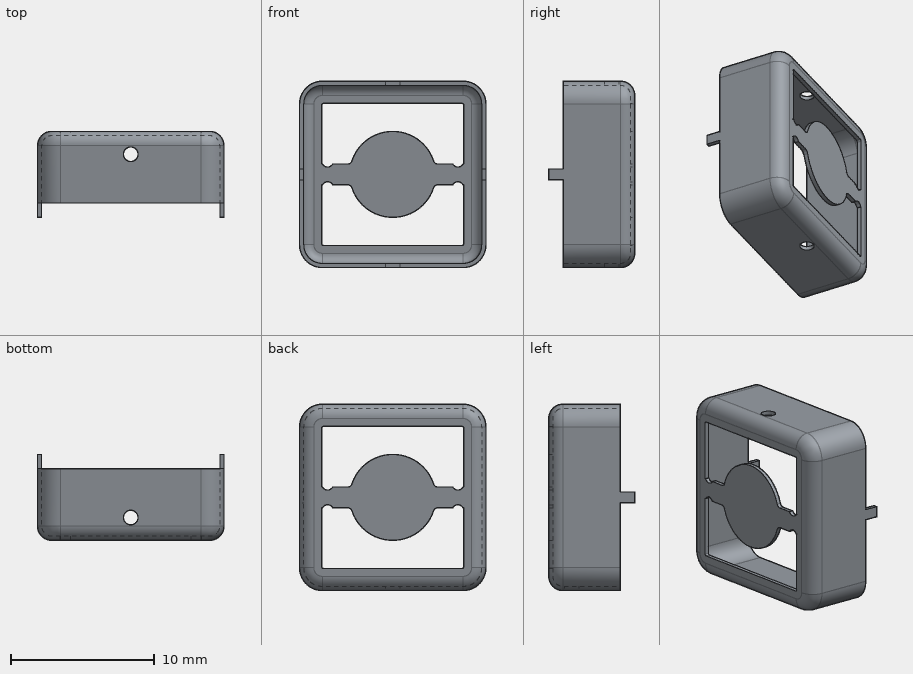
import cadquery as cq

SIDE = 13.0
DEPTH = 5.0
WALL = 0.3
CORNER_RADIUS = 1.6
BACK_RADIUS = 1.0

WINDOW_SIDE = 9.88
WINDOW_CORNER_RADIUS = 0.1
DISC_DIAMETER = 6.0
ARM_HEIGHT = 1.45
ARM_FILLET = 0.3
RELIEF_RADIUS = 0.4
NECK_HEIGHT = 1.04

HOLE_DIAMETER = 1.0
HOLE_FROM_BACK = 1.6

TAB_LENGTH = 1.0
TAB_HEIGHT = 0.75


def rounded_block(side, depth, corner_radius, back_radius):
    """Square block from Y = 0 to Y = depth with rounded corners and back edge."""
    block = cq.Workplane("XY").box(side, depth, side, centered=(True, False, True))
    return block.edges("|Y").fillet(corner_radius).faces(">Y").edges().fillet(back_radius)


def back_plane():
    """XZ sketch plane on the outer face of the back plate; extrudes toward -Y."""
    return cq.Workplane("XZ", origin=(0, DEPTH, 0))


def housing():
    outer = rounded_block(SIDE, DEPTH, CORNER_RADIUS, BACK_RADIUS)
    cavity = rounded_block(
        SIDE - 2 * WALL, DEPTH - WALL, CORNER_RADIUS - WALL, BACK_RADIUS - WALL
    )
    return outer.cut(cavity)


def window_cutter():
    """Window opening less the central disc and the bridge that carries it."""
    window = back_plane().rect(WINDOW_SIDE, WINDOW_SIDE).extrude(WALL)
    window = window.edges("|Y").fillet(WINDOW_CORNER_RADIUS)

    bridge = back_plane().rect(SIDE, ARM_HEIGHT).extrude(WALL)
    disc = back_plane().circle(DISC_DIAMETER / 2).extrude(WALL)
    near_disc = cq.selectors.BoxSelector(
        (-DISC_DIAMETER / 2, 0, -ARM_HEIGHT), (DISC_DIAMETER / 2, DEPTH, ARM_HEIGHT)
    )
    island = bridge.union(disc).edges("|Y").edges(near_disc).fillet(ARM_FILLET)

    relief_x = WINDOW_SIDE / 2 - RELIEF_RADIUS
    relief_z = NECK_HEIGHT / 2 + RELIEF_RADIUS
    reliefs = (
        back_plane()
        .rect(2 * relief_x, 2 * relief_z, forConstruction=True)
        .vertices()
        .circle(RELIEF_RADIUS)
        .extrude(WALL)
    )
    return window.cut(island).union(reliefs)


def hole_cutter():
    """Drill passing through the top and bottom walls."""
    return (
        cq.Workplane("XY")
        .center(0, DEPTH - HOLE_FROM_BACK)
        .circle(HOLE_DIAMETER / 2)
        .extrude(SIDE, both=True)
    )


def tab(direction):
    """Tab standing out of the rim, as thick as the wall; direction is -1 or 1."""
    return cq.Workplane("XY").box(WALL, 2 * TAB_LENGTH, TAB_HEIGHT).translate(
        (direction * (SIDE - WALL) / 2, 0, 0)
    )


result = housing().cut(window_cutter()).cut(hole_cutter())
for direction in (-1, 1):
    result = result.union(tab(direction))